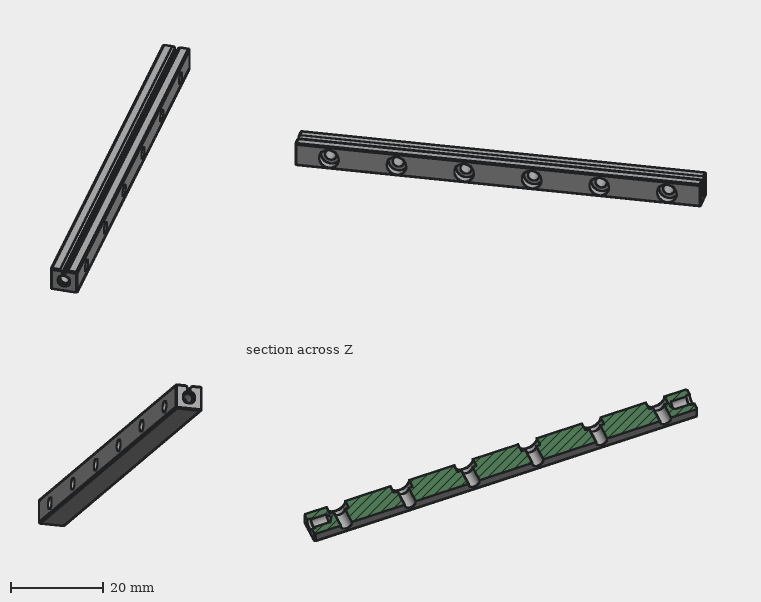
import cadquery as cq

length = 90.0
width = 6.0
height = 5.5
edge_chamfer = 0.3

vee_half_width = 0.9
relief_width = 0.7
relief_depth = 1.1

hole_count = 6
hole_pitch = length / hole_count
hole_drop = 0.225
hole_diameter = 2.5
counterbore_diameter = 4.3
counterbore_depth = 2.0

core_diameter = 2.2
recess_diameter = 2.7
recess_depth = 0.9
mouth_diameter = 2.8
core_depth = 4.5
drill_tip_depth = 0.6
mouth_depth = (mouth_diameter - recess_diameter) / 2

top = height / 2
side = width / 2
end = length / 2


def rail_body():
    return cq.Workplane("XY").box(width, length, height).edges().chamfer(edge_chamfer)


def running_groove():
    """Vee with a narrow relief slot at its root, as long as the rail."""
    relief_half_width = relief_width / 2
    slot_top = top - (vee_half_width - relief_half_width)
    slot_bottom = top - relief_depth
    return (
        cq.Workplane("XZ")
        .moveTo(-vee_half_width, top)
        .lineTo(-relief_half_width, slot_top)
        .lineTo(-relief_half_width, slot_bottom)
        .lineTo(relief_half_width, slot_bottom)
        .lineTo(relief_half_width, slot_top)
        .lineTo(vee_half_width, top)
        .close()
        .extrude(end, both=True)
    )


def drill_mounting_holes(body):
    """Row of through holes, counterbored from the -X side."""
    first_y = -hole_pitch * (hole_count - 1) / 2
    centers = [(first_y + i * hole_pitch, -hole_drop) for i in range(hole_count)]
    holes = cq.Workplane("YZ", origin=(-side, 0, 0)).pushPoints(centers)
    bores = holes.circle(hole_diameter / 2).extrude(width)
    counterbores = holes.circle(counterbore_diameter / 2).extrude(counterbore_depth)
    return body.cut(bores).cut(counterbores)


def end_hole():
    """Blind hole in the -Y end: flared mouth, short recess, core and conical drill tip."""
    recess_radius = recess_diameter / 2
    core_radius = core_diameter / 2
    profile = (
        cq.Workplane("XY")
        .moveTo(0, -end)
        .lineTo(mouth_diameter / 2, -end)
        .lineTo(recess_radius, -end + mouth_depth)
        .lineTo(recess_radius, -end + recess_depth)
        .lineTo(core_radius, -end + recess_depth)
        .lineTo(core_radius, -end + core_depth)
        .lineTo(0, -end + core_depth + drill_tip_depth)
        .close()
    )
    return profile.revolve(360, (0, 0, 0), (0, 1, 0))


front_end_hole = end_hole()
result = drill_mounting_holes(rail_body().cut(running_groove()))
result = result.cut(front_end_hole).cut(front_end_hole.mirror("XZ"))